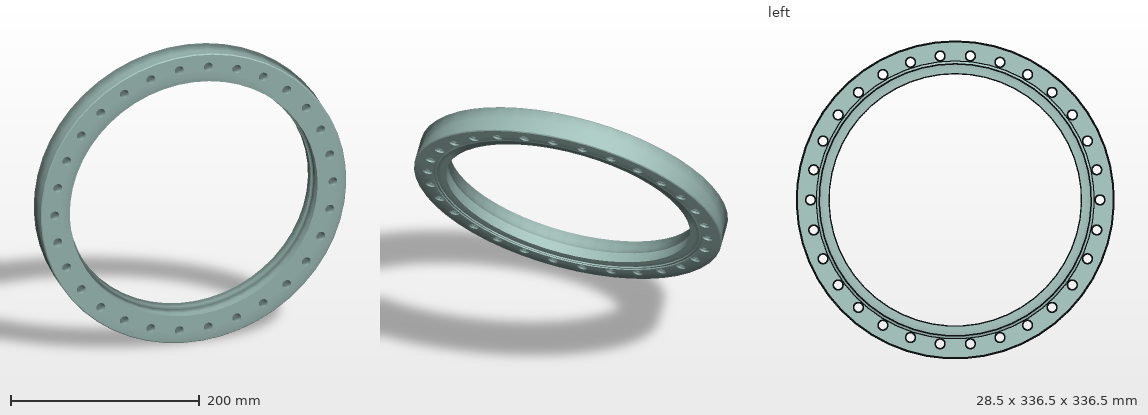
import cadquery as cq
import math

outer_diameter = 336.5
thickness = 28.5
rim_chamfer = 1.0

bore_diameter = 267.0
socket_diameter = 273.0
socket_start = 12.8

recess_diameter = 294.0
knife_diameter = 287.5
knife_slope = 20.0
knife_tip_width = 0.5
gasket_depth = 1.5
floor_depth = 2.0

hole_count = 30
bolt_circle_diameter = 306.3
hole_diameter = 9.8
mouth_diameter = 10.8
mouth_depth = 2.7


def make_ring():
    """Revolve the ring section; section points are (x, radius)."""
    outer_radius = outer_diameter / 2
    knife_radius = knife_diameter / 2
    recess_radius = recess_diameter / 2
    tip_outer_radius = knife_radius + knife_tip_width
    knife_height = (recess_radius - tip_outer_radius) * math.tan(math.radians(knife_slope))
    section = [
        (0, recess_radius),
        (0, outer_radius - rim_chamfer),
        (rim_chamfer, outer_radius),
        (thickness - rim_chamfer, outer_radius),
        (thickness, outer_radius - rim_chamfer),
        (thickness, socket_diameter / 2),
        (socket_start, socket_diameter / 2),
        (socket_start, bore_diameter / 2),
        (floor_depth, bore_diameter / 2),
        (floor_depth, knife_radius),
        (gasket_depth - knife_height, knife_radius),
        (gasket_depth - knife_height, tip_outer_radius),
        (gasket_depth, recess_radius),
    ]
    return cq.Workplane("XZ").polyline(section).close().revolve(360, (0, 0, 0), (1, 0, 0))


def make_bolt_hole():
    """Cutter for one through hole on the X axis, slightly wider at the sealing face."""
    hole = cq.Workplane("YZ").circle(hole_diameter / 2).extrude(thickness)
    mouth = cq.Workplane("YZ").circle(mouth_diameter / 2).extrude(mouth_depth)
    return hole.union(mouth)


def cut_bolt_holes(ring):
    cutter = make_bolt_hole().translate((0, bolt_circle_diameter / 2, 0))
    for index in range(hole_count):
        angle = index * 360 / hole_count
        ring = ring.cut(cutter.rotate((0, 0, 0), (1, 0, 0), angle))
    return ring


result = cut_bolt_holes(make_ring())